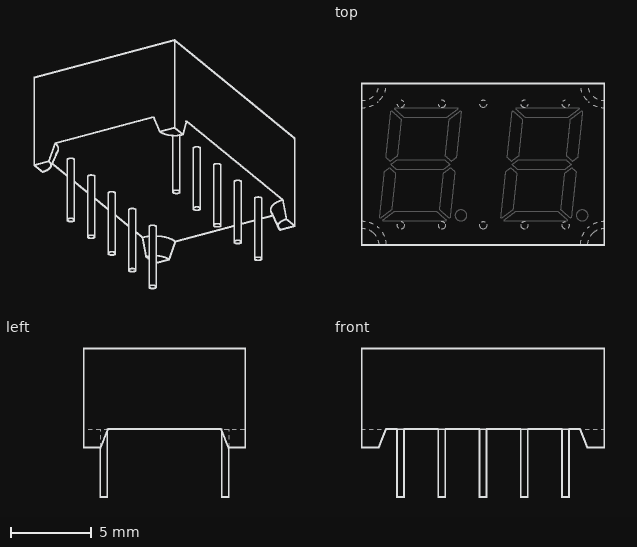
import cadquery as cq
import math

length = 15.0
width = 10.0
height = 5.0

foot_height = 1.14
foot_top_radius = 1.5
foot_bottom_radius = 1.05

pin_diameter = 0.45
pin_length = 4.2
pin_pitch = 2.55
pins_per_row = 5
row_count = 2
row_spacing = 7.52

digit_pitch = 7.5
digit_shift = -0.14
slant = math.tan(math.radians(6.0))
half_width = 2.19
half_height = 3.5
bar_thickness = 0.58
post_thickness = 0.72
inlay_depth = 0.15

segment_gap = 0.2
tip_trim = 0.09
post_tip_shift = 0.06

dot_diameter = 0.7
dot_x = 2.5

mitre_slope = bar_thickness / post_thickness
gap_along_y = segment_gap * math.hypot(1.0, mitre_slope)
gap_along_x = gap_along_y / mitre_slope
inner_width = half_width - post_thickness
inner_height = half_height - bar_thickness


def make_foot():
    """Tapered quarter foot whose corner lies on the Z axis, filling +X and +Y."""
    profile = [
        (0, 0),
        (foot_top_radius, 0),
        (foot_bottom_radius, -foot_height),
        (0, -foot_height),
    ]
    return cq.Workplane("XZ").polyline(profile).close().revolve(90, (0, 0), (0, 1))


def make_segment(points):
    """Flush slab with the given upright outline slanted to the right."""
    slanted = [(x + slant * y, y) for x, y in points]
    slab = cq.Workplane("XY").workplane(offset=height - inlay_depth)
    return slab.polyline(slanted).close().extrude(inlay_depth)


def trim_upper_tips(segment):
    """Blunt the sharp corners at the upper end of a segment."""
    return segment.edges("|Z").edges(">Y").chamfer(tip_trim)


def make_top_bar():
    inner_x = inner_width - gap_along_x / 2
    outer_x = half_width - gap_along_x / 2
    outline = [
        (-outer_x, half_height),
        (outer_x, half_height),
        (inner_x, inner_height),
        (-inner_x, inner_height),
    ]
    return trim_upper_tips(make_segment(outline))


def make_middle_bar():
    half_bar = bar_thickness / 2
    tip_x = half_width - post_thickness / 2
    outline = [
        (-tip_x, 0),
        (-inner_width, half_bar),
        (inner_width, half_bar),
        (tip_x, 0),
        (inner_width, -half_bar),
        (-inner_width, -half_bar),
    ]
    return make_segment(outline)


def make_upper_post(side):
    """Upper upright segment; side is -1 for the left one and 1 for the right one."""
    tip_x = half_width - post_thickness / 2 + post_tip_shift
    inner_y = bar_thickness / 2 + gap_along_y
    tip_y = inner_y - mitre_slope * (tip_x - inner_width)
    outer_y = tip_y + mitre_slope * (half_width - tip_x)
    outline = [
        (side * half_width, half_height - gap_along_y / 2),
        (side * inner_width, inner_height - gap_along_y / 2),
        (side * inner_width, inner_y),
        (side * tip_x, tip_y),
        (side * half_width, outer_y),
    ]
    return trim_upper_tips(make_segment(outline))


def make_dot():
    dot_y = -half_height + dot_diameter / 2
    slab = cq.Workplane("XY").workplane(offset=height - inlay_depth)
    return slab.center(dot_x, dot_y).circle(dot_diameter / 2).extrude(inlay_depth)


def make_digit():
    """Seven segments and a decimal point; the lower half is the upper half turned over."""
    pieces = [make_middle_bar(), make_dot()]
    for piece in (make_top_bar(), make_upper_post(-1), make_upper_post(1)):
        pieces.append(piece)
        pieces.append(piece.rotate((0, 0, 0), (0, 0, 1), 180))
    return pieces


result = cq.Workplane("XY").box(length, width, height, centered=(True, True, False))
corner_foot = make_foot().translate((-length / 2, -width / 2, 0))
for foot in (corner_foot, corner_foot.mirror("YZ")):
    result = result.union(foot).union(foot.mirror("XZ"))

pins = (
    cq.Workplane("XY")
    .rarray(pin_pitch, row_spacing, pins_per_row, row_count)
    .circle(pin_diameter / 2)
    .extrude(-pin_length)
)
result = result.union(pins)

digit = make_digit()
for side in (-1, 1):
    digit_x = digit_shift + side * digit_pitch / 2
    for piece in digit:
        result = result.union(piece.translate((digit_x, 0, 0)), clean=False)